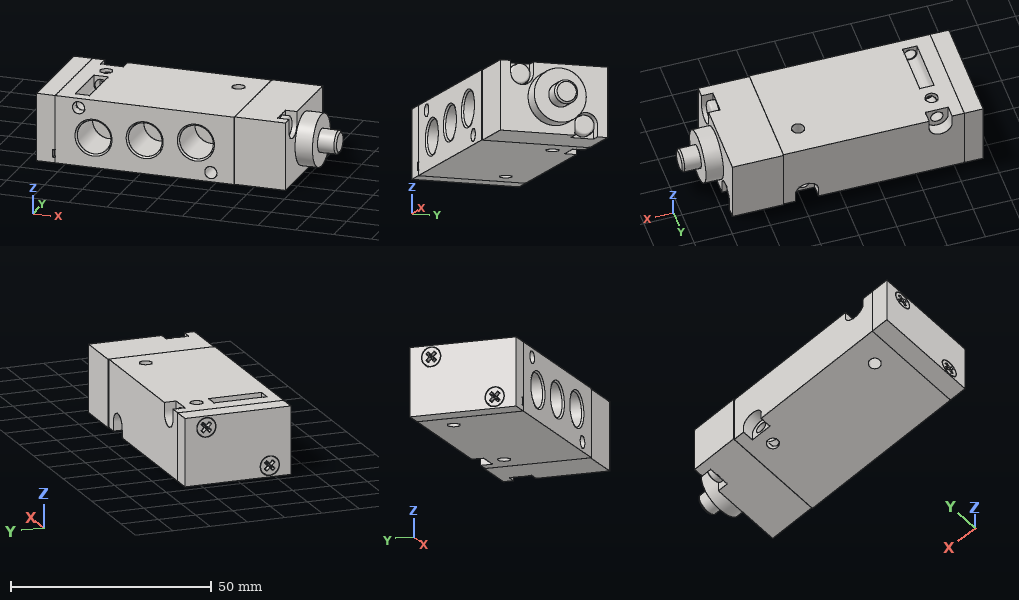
import cadquery as cq

height = 18.0
width = 28.5
cap_length = 5.0
body_length = 47.4
head_length = 13.45
head_offset_y = 0.25
body_end = cap_length + body_length
head_end = body_end + head_length
mid_z = height / 2

collar_diameter = 13.8
collar_length = 4.6
stem_diameter = 6.1
stem_length = 4.85
stem_chamfer = 0.5
connector_y = head_offset_y + width / 2

port_diameter = 8.9
port_chamfer = 0.45
port_depth = 12.0
middle_port_x = 28.7
port_pitch = 13.55
port_rise = 1.0

mount_diameter = 3.2
mount_x = 11.2
mount_pitch = 35.0
mount_edge = 2.5
vertical_mount_y = 21.0
mount_positions = [
    (mount_x, height - mount_edge, 1),
    (mount_x + mount_pitch, mount_edge, -1),
]
nut_recess_width = 6.0
nut_recess_depth = 3.2

slot_width = 3.75
slot_start_y = 2.9
slot_end_y = 17.05

screw_inset_y = 5.75
screw_inset_z = 3.0
cap_screw_positions = [
    (width - screw_inset_y, height - screw_inset_z),
    (screw_inset_y, screw_inset_z),
]
head_screw_positions = [
    (head_offset_y + screw_inset_y, height - screw_inset_z, 1),
    (head_offset_y + width - screw_inset_y, screw_inset_z, -1),
]
head_screw_recess_width = 6.0
head_screw_recess_depth = 3.0
head_screw_diameter = 5.3
head_screw_height = 2.0
head_screw_round = 0.6

cap_screw_diameter = 4.95
cap_screw_gap = 0.1
cap_screw_gap_depth = 1.0
cross_span = 3.1
cross_width = 0.8
cross_wall_taper = 12.0
cross_depth = 1.2

notch_length = 0.65
notch_depth = 1.0
notch_bottom = 1.5
notch_height = 2.0


def box(x, y, z, dx, dy, dz):
    """Box with its lowest corner at (x, y, z)."""
    return cq.Workplane("XY").box(dx, dy, dz, centered=False).translate((x, y, z))


def rod_x(x, y, z, diameter, length):
    """Cylinder along +X, starting at (x, y, z)."""
    return cq.Workplane("YZ", origin=(x, y, z)).circle(diameter / 2).extrude(length)


def rod_y(x, y, z, diameter, length):
    """Cylinder along +Y, starting at (x, y, z)."""
    return cq.Workplane("XZ", origin=(x, y, z)).circle(diameter / 2).extrude(-length)


def opening_box(x, y, z, dx, dy, side):
    """Box from height z up to the top face (side 1) or down to the bottom face (side -1)."""
    if side > 0:
        return box(x, y, z, dx, dy, height - z)
    return box(x, y, 0, dx, dy, z)


def open_slot_y(x, y, z, slot_size, length, side):
    """Round-bottomed slot along +Y; side 1 opens it to the top face, -1 to the bottom face."""
    opening = opening_box(x - slot_size / 2, y, z, slot_size, length, side)
    return rod_y(x, y, z, slot_size, length).union(opening)


def open_slot_x(x, y, z, slot_size, length, side):
    """Round-bottomed slot along +X; side 1 opens it to the top face, -1 to the bottom face."""
    opening = opening_box(x, y - slot_size / 2, z, length, slot_size, side)
    return rod_x(x, y, z, slot_size, length).union(opening)


def make_port(x, z):
    """Cutter for a blind port with a chamfered mouth on the -Y face."""
    radius = port_diameter / 2
    mouth_radius = radius + port_chamfer
    profile = [
        (0, 0),
        (mouth_radius, 0),
        (radius, port_chamfer),
        (radius, port_depth),
        (0, port_depth),
    ]
    port = cq.Workplane("XY").polyline(profile).close().revolve(360, (0, 0), (0, 1))
    return port.translate((x, 0, z))


def make_valve_body():
    body = box(cap_length, 0, 0, body_length, width, height)
    for step in (-1, 0, 1):
        body = body.cut(make_port(middle_port_x + step * port_pitch, mid_z + step * port_rise))
    for x, z, side in mount_positions:
        body = body.cut(rod_y(x, 0, z, mount_diameter, width))
        recess_start = width - nut_recess_depth
        body = body.cut(open_slot_y(x, recess_start, z, nut_recess_width, nut_recess_depth, side))
        vertical_hole = cq.Workplane("XY", origin=(x, vertical_mount_y, 0))
        body = body.cut(vertical_hole.circle(mount_diameter / 2).extrude(height))
    slot_x, slot_z, slot_side = mount_positions[0]
    slot_length = slot_end_y - slot_start_y
    return body.cut(open_slot_y(slot_x, slot_start_y, slot_z, slot_width, slot_length, slot_side))


def make_screw_marking(y, z):
    """Cutter for the ring gap around a flush screw head and its diagonal cross recess."""
    outer_diameter = cap_screw_diameter + 2 * cap_screw_gap
    marking = rod_x(0, y, z, outer_diameter, cap_screw_gap_depth)
    marking = marking.cut(rod_x(0, y, z, cap_screw_diameter, cap_screw_gap_depth))
    for angle in (45, 135):
        arm = cq.Workplane("YZ", origin=(0, y, z)).transformed(rotate=(0, 0, angle))
        arm = arm.rect(cross_span, cross_width).extrude(cross_depth, taper=cross_wall_taper)
        marking = marking.add(arm)
    return marking.combine()


def make_end_cap():
    cap = box(0, 0, 0, cap_length, width, height)
    for y, z in cap_screw_positions:
        cap = cap.cut(make_screw_marking(y, z))
    notch_x = cap_length - notch_length
    return cap.cut(box(notch_x, 0, notch_bottom, notch_length, notch_depth, notch_height))


def make_solenoid_head():
    head = box(body_end, head_offset_y, 0, head_length, width, height)
    recess_x = head_end - head_screw_recess_depth
    for y, z, side in head_screw_positions:
        recess = open_slot_x(recess_x, y, z, head_screw_recess_width, head_screw_recess_depth, side)
        screw = rod_x(recess_x, y, z, head_screw_diameter, head_screw_height)
        screw = screw.faces(">X").edges().fillet(head_screw_round)
        head = head.cut(recess).union(screw)
    collar = rod_x(head_end, connector_y, mid_z, collar_diameter, collar_length)
    stem = rod_x(head_end + collar_length, connector_y, mid_z, stem_diameter, stem_length)
    stem = stem.faces(">X").chamfer(stem_chamfer)
    return head.union(collar).union(stem)


valve_body = make_valve_body()
end_cap = make_end_cap()
solenoid_head = make_solenoid_head()

result = cq.Compound.makeCompound([valve_body.val(), end_cap.val(), solenoid_head.val()])